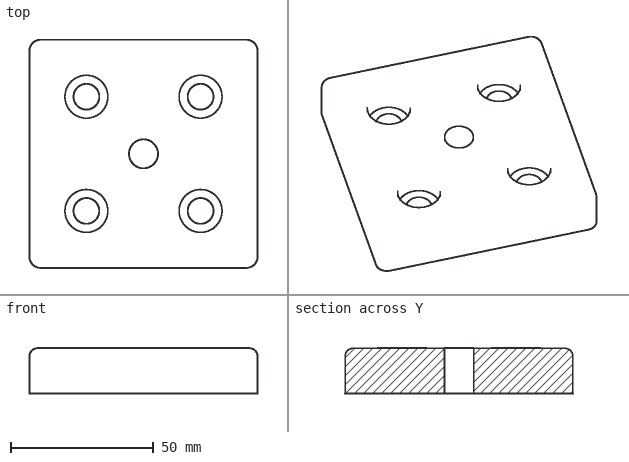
import cadquery as cq

side = 80.0
thickness = 16.0
corner_radius = 4.0
top_edge_radius = 3.0

screw_spacing = 40.0
screw_hole_diameter = 9.0
counterbore_diameter = 15.0
counterbore_depth = 9.0
counterbore_rim_fillet = 1.0

centre_hole_diameter = 10.1


def make_plate():
    """Square plate on Z = 0 with rounded corners and a rounded top edge."""
    plate = cq.Workplane("XY").box(side, side, thickness, centered=(True, True, False))
    plate = plate.edges("|Z").fillet(corner_radius)
    return plate.faces(">Z").edges().fillet(top_edge_radius)


def make_screw_hole_cutter():
    """Stepped cutter for one screw hole: through hole, counterbore and rounded rim."""
    hole_radius = screw_hole_diameter / 2
    bore_radius = counterbore_diameter / 2
    rim_radius = bore_radius + counterbore_rim_fillet
    rim_start = thickness - counterbore_rim_fillet
    bore_floor = thickness - counterbore_depth
    profile = (
        cq.Workplane("XZ")
        .lineTo(hole_radius, 0)
        .lineTo(hole_radius, bore_floor)
        .lineTo(bore_radius, bore_floor)
        .lineTo(bore_radius, rim_start)
        .radiusArc((rim_radius, thickness), counterbore_rim_fillet)
        .lineTo(0, thickness)
        .close()
    )
    return profile.revolve(360, (0, 0, 0), (0, 1, 0))


result = make_plate()

screw_cutter = make_screw_hole_cutter()
for x in (-screw_spacing / 2, screw_spacing / 2):
    for y in (-screw_spacing / 2, screw_spacing / 2):
        result = result.cut(screw_cutter.translate((x, y, 0)))

centre_hole = cq.Workplane("XY").circle(centre_hole_diameter / 2).extrude(thickness)
result = result.cut(centre_hole)